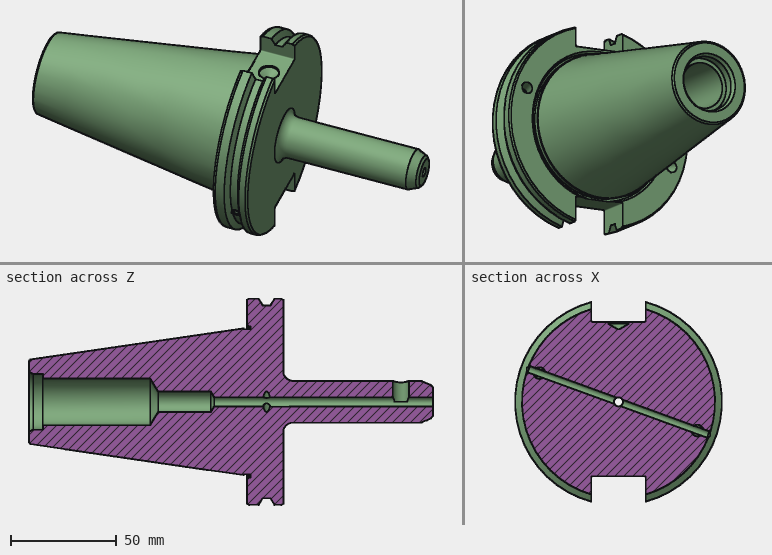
import cadquery as cq
import math


overall_length = 191.6
gauge_x = 102.0
gauge_radius = 34.9
taper_slope = 7 / 48
taper_end_radius = gauge_radius - taper_slope * gauge_x
taper_chamfer = 0.8
neck_radius = 34.5

flange_start_x = 103.3
flange_end_x = 120.7
flange_radius = 49.0
rim_chamfer_length = 1.1
rim_chamfer_drop = 0.5
face_recess_radius = 35.8
face_recess_depth = 1.7
face_recess_chamfer = 1.0

groove_x = 112.7
groove_floor_radius = 45.8
groove_floor_width = 3.6
groove_wall_angle = math.radians(30)
groove_wall_run = (flange_radius - groove_floor_radius) * math.tan(groove_wall_angle)
groove_mouth_width = groove_floor_width + 2 * groove_wall_run

drill_point_angle = 118.0

slot_width = 25.7
upper_slot_floor = 38.0
lower_slot_floor = 35.3
slot_corner_radius = 0.5
dimple_diameter = 9.5
dimple_wall_depth = 1.0

shank_radius = 10.0
root_radius = 4.8
root_end_x = 125.3
nose_start_x = 186.0
nose_step_x = 186.6
nose_step_radius = 9.5
nose_end_x = 190.5
nose_end_radius = 8.0
tip_radius = 6.7
shank_hole_x = 176.3
shank_hole_diameter = 7.5

mouth_radius = 14.2
mouth_chamfer_length = 2.1
pilot_diameter = 26.2
pilot_radius = pilot_diameter / 2
pilot_depth = 6.7
thread_diameter = 22.0
thread_radius = thread_diameter / 2
thread_depth = 57.5
middle_diameter = 9.5
middle_radius = middle_diameter / 2
coolant_diameter = 4.2
coolant_radius = coolant_diameter / 2
middle_depth = 86.2

port_angle = 20.0
port_pitch_radius = 42.2
port_diameter = 5.4
port_tilt = 15.0
cross_hole_diameter = 3.3
cross_mouth_diameter = 4.2
cross_mouth_depth = 0.5


def cone_length(large_radius, small_radius):
    """Axial length of a drill-point cone between two radii."""
    return (large_radius - small_radius) / math.tan(math.radians(drill_point_angle / 2))


def revolve_about_x(profile):
    """Turn a closed half profile about the arbor axis."""
    return profile.close().revolve(360, (0, 0, 0), (1, 0, 0))


def make_body():
    """Turned outside: taper, neck, flange and shank."""
    root_drop = math.sqrt(root_radius**2 - (root_end_x - flange_end_x) ** 2)
    root_centre_radius = shank_radius + root_radius
    root_start_radius = root_centre_radius - root_drop
    root_mid_angle = (math.atan2(root_drop, root_end_x - flange_end_x) + math.pi / 2) / 2
    root_mid = (
        root_end_x - root_radius * math.cos(root_mid_angle),
        root_centre_radius - root_radius * math.sin(root_mid_angle),
    )
    recess_x = flange_start_x + face_recess_depth
    profile = (
        cq.Workplane("XY")
        .moveTo(0, 0)
        .lineTo(0, taper_end_radius - taper_chamfer)
        .lineTo(taper_chamfer, taper_end_radius + taper_slope * taper_chamfer)
        .lineTo(gauge_x, gauge_radius)
        .lineTo(gauge_x, neck_radius)
        .lineTo(recess_x, neck_radius)
        .lineTo(recess_x, face_recess_radius)
        .lineTo(flange_start_x + face_recess_chamfer, face_recess_radius)
        .lineTo(flange_start_x, face_recess_radius + face_recess_chamfer)
        .lineTo(flange_start_x, flange_radius - rim_chamfer_drop)
        .lineTo(flange_start_x + rim_chamfer_length, flange_radius)
        .lineTo(groove_x - groove_mouth_width / 2, flange_radius)
        .lineTo(groove_x - groove_floor_width / 2, groove_floor_radius)
        .lineTo(groove_x + groove_floor_width / 2, groove_floor_radius)
        .lineTo(groove_x + groove_mouth_width / 2, flange_radius)
        .lineTo(flange_end_x - rim_chamfer_length, flange_radius)
        .lineTo(flange_end_x, flange_radius - rim_chamfer_drop)
        .lineTo(flange_end_x, root_start_radius)
        .threePointArc(root_mid, (root_end_x, shank_radius))
        .lineTo(nose_start_x, shank_radius)
        .lineTo(nose_step_x, nose_step_radius)
        .lineTo(nose_end_x, nose_end_radius)
        .lineTo(overall_length, tip_radius)
        .lineTo(overall_length, 0)
    )
    return revolve_about_x(profile)


def make_bore():
    """Stepped bore that runs through the whole arbor."""
    thread_cone_end = thread_depth + cone_length(thread_radius, middle_radius)
    middle_cone_end = middle_depth + cone_length(middle_radius, coolant_radius)
    profile = (
        cq.Workplane("XY")
        .moveTo(0, 0)
        .lineTo(0, mouth_radius)
        .lineTo(mouth_chamfer_length, pilot_radius)
        .lineTo(pilot_depth, pilot_radius)
        .lineTo(pilot_depth, thread_radius)
        .lineTo(thread_depth, thread_radius)
        .lineTo(thread_cone_end, middle_radius)
        .lineTo(middle_depth, middle_radius)
        .lineTo(middle_cone_end, coolant_radius)
        .lineTo(overall_length, coolant_radius)
        .lineTo(overall_length, 0)
    )
    return revolve_about_x(profile)


def make_slot(floor, side):
    """Drive slot across the flange; side is +1 for the top and -1 for the bottom."""
    depth = flange_radius - floor
    length = flange_end_x - flange_start_x
    centre_x = flange_start_x + length / 2
    slot = cq.Workplane("XY").box(length, slot_width, depth)
    floor_face = "<Z" if side > 0 else ">Z"
    slot = slot.faces(floor_face).edges("|X").fillet(slot_corner_radius)
    return slot.translate((centre_x, 0, side * (floor + depth / 2)))


def make_dimple():
    """Drilled dimple in the floor of the upper drive slot."""
    radius = dimple_diameter / 2
    wall_end = upper_slot_floor - dimple_wall_depth
    return (
        cq.Workplane("XZ", origin=(groove_x, 0, 0))
        .moveTo(0, upper_slot_floor)
        .lineTo(radius, upper_slot_floor)
        .lineTo(radius, wall_end)
        .lineTo(0, wall_end - cone_length(radius, 0))
        .close()
        .revolve(360, (0, 0, 0), (0, 1, 0))
    )


def drill(start, direction, diameter, depth):
    """Cylinder that removes a flat-ended hole."""
    return cq.Workplane(cq.Solid.makeCylinder(diameter / 2, depth, cq.Vector(*start), cq.Vector(*direction)))


def make_port():
    """Leaning hole in the flange face and the cross hole from the groove to the bore."""
    tilt = math.radians(port_tilt)
    lead_in = 2.0
    direction = (math.cos(tilt), -math.sin(tilt), 0)
    start = (
        flange_start_x - lead_in * math.cos(tilt),
        port_pitch_radius + lead_in * math.sin(tilt),
        0,
    )
    depth = (groove_x - flange_start_x) / math.cos(tilt) + lead_in
    face_hole = drill(start, direction, port_diameter, depth)
    cross_hole = drill((groove_x, 0, 0), (0, 1, 0), cross_hole_diameter, flange_radius)
    mouth_start = groove_floor_radius - cross_mouth_depth
    cross_mouth = drill((groove_x, mouth_start, 0), (0, 1, 0), cross_mouth_diameter, flange_radius - mouth_start)
    return face_hole.union(cross_hole).union(cross_mouth).rotate((0, 0, 0), (1, 0, 0), port_angle)


result = make_body().cut(make_bore())
result = result.cut(make_slot(upper_slot_floor, 1)).cut(make_slot(lower_slot_floor, -1))
result = result.cut(make_dimple())

port = make_port()
for turn in (0, 180):
    result = result.cut(port.rotate((0, 0, 0), (1, 0, 0), turn))

result = result.cut(drill((shank_hole_x, 0, 0), (0, 1, 0), shank_hole_diameter, shank_radius))